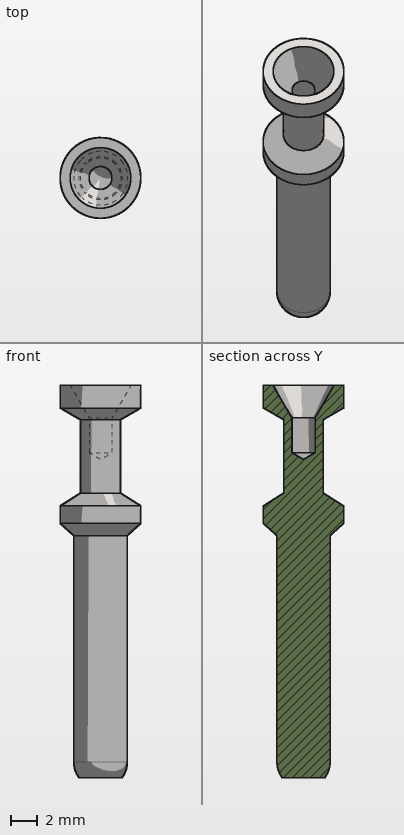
import cadquery as cq
import math

total_length = 29.1

collar_diameter = 6.0
neck_diameter = 3.0
shank_diameter = 4.0

head_rim_height = 1.7
neck_end_depth = 8.0
collar_rim_start_depth = 8.95
collar_rim_height = 1.3
cone_slope = math.radians(30)
collar_underside_height = 0.9

tip_height = 1.2
tip_radius = 2.0

funnel_diameter = 4.5
funnel_half_angle = math.radians(30)
bore_diameter = 1.7
bore_depth = 5.0
drill_half_angle = math.radians(60)

collar_r = collar_diameter / 2
neck_r = neck_diameter / 2
shank_r = shank_diameter / 2
funnel_r = funnel_diameter / 2
bore_r = bore_diameter / 2


def make_pin():
    """Turned outside: head, neck, collar and round-ended shank."""
    z_head_rim = total_length - head_rim_height
    z_neck_top = z_head_rim - (collar_r - neck_r) * math.tan(cone_slope)
    z_neck_bottom = total_length - neck_end_depth
    z_collar_top = total_length - collar_rim_start_depth
    z_collar_bottom = z_collar_top - collar_rim_height
    z_shank_top = z_collar_bottom - collar_underside_height

    arc_center_r = shank_r - tip_radius
    arc_angle = math.asin(tip_height / tip_radius)
    tip_face_r = arc_center_r + tip_radius * math.cos(arc_angle)
    arc_mid_r = arc_center_r + tip_radius * math.cos(arc_angle / 2)
    arc_mid_z = tip_height - tip_radius * math.sin(arc_angle / 2)

    return (
        cq.Workplane("XZ")
        .moveTo(0, 0)
        .lineTo(tip_face_r, 0)
        .threePointArc((arc_mid_r, arc_mid_z), (shank_r, tip_height))
        .lineTo(shank_r, z_shank_top)
        .lineTo(collar_r, z_collar_bottom)
        .lineTo(collar_r, z_collar_top)
        .lineTo(neck_r, z_neck_bottom)
        .lineTo(neck_r, z_neck_top)
        .lineTo(collar_r, z_head_rim)
        .lineTo(collar_r, total_length)
        .lineTo(0, total_length)
        .close()
        .revolve(360, (0, 0, 0), (0, 1, 0))
    )


def make_cup():
    """Void of the funnel, the bore and its drill point."""
    z_funnel_bottom = total_length - (funnel_r - bore_r) / math.tan(funnel_half_angle)
    z_bore_bottom = total_length - bore_depth
    z_drill_tip = z_bore_bottom - bore_r / math.tan(drill_half_angle)

    return (
        cq.Workplane("XZ")
        .moveTo(0, z_drill_tip)
        .lineTo(bore_r, z_bore_bottom)
        .lineTo(bore_r, z_funnel_bottom)
        .lineTo(funnel_r, total_length)
        .lineTo(0, total_length)
        .close()
        .revolve(360, (0, 0, 0), (0, 1, 0))
    )


result = make_pin().cut(make_cup())